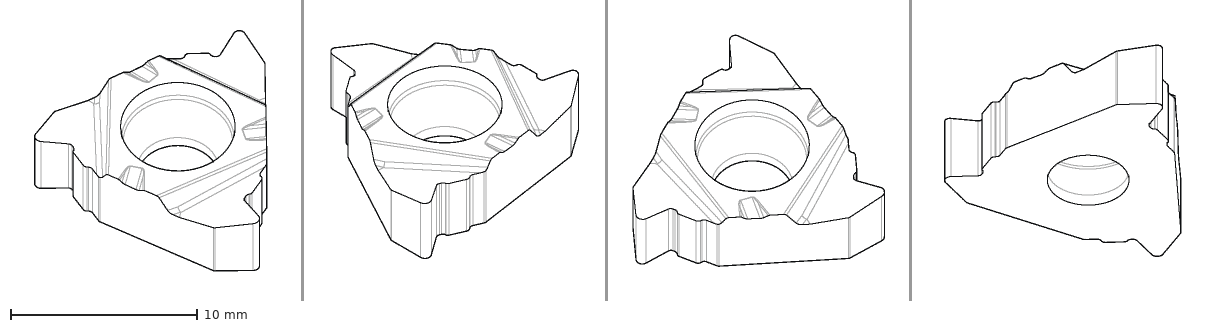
import cadquery as cq
import math

TOOTH_COUNT = 3
TOOTH_PITCH = 360 / TOOTH_COUNT

thickness = 4.27
side_distance = 4.76
side_corner_radius = 0.2

flank_angle = 60
tooth_apex = (-3.4, -7.23)
tip_radius = 0.35
shoulder_corner_radius = 0.16

groove_crest_y = -5.32
groove_exit_x = -1.92
groove_exit_angle = 55
groove_radius = 0.24
groove_lip_radius = 0.16
land_y = -5.52
step_start_x = -0.54
step_angle = 60
step_radius = 0.24
inner_land_y = -5.21

bore_radius = 4.4 / 2
countersink_radius = 3.08
countersink_taper = 3
countersink_depth = 1.01
seat_fillet_radius = 0.48
seat_radius = 4.03

ramp_angle = 10
tip_drop = 0.28
floor_depth = 1.01
floor_tilt = 4
wall_distance = 3.75
wall_direction = 238
wall_angle = 60
wall_root_radius = 0.31
wall_top_radius = 0.16

dent_end = (-3.55, 0.58)
dent_direction = 195
dent_slope = 10
dent_floor_width = 0.65
dent_wall_angle = 35
dent_radius = 0.32
dent_rim_radius = 0.13

reach = 8.06
clearance = 0.67


def tan(degrees):
    return math.tan(math.radians(degrees))


def sin(degrees):
    return math.sin(math.radians(degrees))


def cos(degrees):
    return math.cos(math.radians(degrees))


def turned(point, degrees):
    """Rotate a plan point about the hole axis."""
    x, y = point
    return (x * cos(degrees) - y * sin(degrees), x * sin(degrees) + y * cos(degrees))


def tooth_corners():
    """Sharp corners of one tooth, each with its rounding radius."""
    apex_x, apex_y = tooth_apex
    shoulder_y = apex_y + (side_distance + apex_x) * tan(flank_angle)

    groove_start_x = apex_x + (groove_crest_y - apex_y) / tan(flank_angle)
    lip_x = groove_exit_x + (groove_crest_y - land_y) / tan(groove_exit_angle)
    step_end_x = step_start_x + (inner_land_y - land_y) / tan(step_angle)
    next_side_x = (side_distance + inner_land_y * sin(TOOTH_PITCH)) / -cos(TOOTH_PITCH)
    return [
        ((-side_distance, shoulder_y), shoulder_corner_radius),
        (tooth_apex, tip_radius),
        ((groove_start_x, groove_crest_y), groove_radius),
        ((groove_exit_x, groove_crest_y), groove_radius),
        ((lip_x, land_y), groove_lip_radius),
        ((step_start_x, land_y), step_radius),
        ((step_end_x, inner_land_y), step_radius),
        ((next_side_x, inner_land_y), side_corner_radius),
    ]


def rounded_outline(corners):
    """Closed outline through corners, each replaced by a tangent arc."""
    outline = cq.Workplane("XY")
    for index, (point, radius) in enumerate(corners):
        corner = cq.Vector(*point)
        before = (cq.Vector(*corners[index - 1][0]) - corner).normalized()
        after = (cq.Vector(*corners[(index + 1) % len(corners)][0]) - corner).normalized()
        half_angle = before.getAngle(after) / 2
        setback = radius / math.tan(half_angle)
        arc_start = corner + before * setback
        arc_end = corner + after * setback
        arc_middle = corner + (before + after).normalized() * (radius / math.sin(half_angle) - radius)
        if index == 0:
            outline = outline.moveTo(arc_start.x, arc_start.y)
        else:
            outline = outline.lineTo(arc_start.x, arc_start.y)
        outline = outline.threePointArc((arc_middle.x, arc_middle.y), (arc_end.x, arc_end.y))
    return outline.close()


def make_body():
    corners = []
    for index in range(TOOTH_COUNT):
        for point, radius in tooth_corners():
            corners.append((turned(point, index * TOOTH_PITCH), radius))
    return rounded_outline(corners).extrude(thickness)


def make_hole_cutter():
    """Bore, convex seat, fillet and tapered countersink wall, as one revolved profile."""
    wall_end_r = countersink_radius - countersink_depth * tan(countersink_taper)
    wall_end_z = thickness - countersink_depth
    wall_start_r = countersink_radius + clearance * tan(countersink_taper)

    fillet_center_r = wall_end_r - seat_fillet_radius * cos(countersink_taper)
    fillet_center_z = wall_end_z + seat_fillet_radius * sin(countersink_taper)
    seat_center_r = bore_radius + seat_radius

    center_distance = seat_radius + seat_fillet_radius
    blend_angle = math.degrees(math.acos((seat_center_r - fillet_center_r) / center_distance))
    seat_center_z = fillet_center_z - center_distance * sin(blend_angle)

    def fillet_point(angle):
        return (fillet_center_r + seat_fillet_radius * cos(angle),
                fillet_center_z - seat_fillet_radius * sin(angle))

    def seat_point(angle):
        return (seat_center_r - seat_radius * cos(angle), seat_center_z + seat_radius * sin(angle))

    return (
        cq.Workplane("XZ")
        .moveTo(0, -clearance)
        .lineTo(0, thickness + clearance)
        .lineTo(wall_start_r, thickness + clearance)
        .lineTo(wall_end_r, wall_end_z)
        .threePointArc(fillet_point((countersink_taper + blend_angle) / 2), fillet_point(blend_angle))
        .threePointArc(seat_point(blend_angle / 2), seat_point(0))
        .lineTo(bore_radius, -clearance)
        .close()
        .revolve(360, (0, 0, 0), (0, 1, 0))
    )


def make_chip_breaker_cutter():
    """Space above the ramp and the floor, on the tooth side of the wall."""
    top_z = thickness + clearance
    deep_z = 0
    tip_y = tooth_apex[1] + tip_radius * (1 / cos(flank_angle) - 1)
    ramp_start_y = tip_y - clearance
    ramp_start_z = thickness - tip_drop + clearance * tan(ramp_angle)
    ramp_end_y = ramp_start_y + ramp_start_z / tan(ramp_angle)
    above_ramp = (
        cq.Workplane("YZ")
        .polyline([(ramp_start_y, top_z), (ramp_start_y, ramp_start_z),
                   (ramp_end_y, deep_z), (ramp_end_y, top_z)])
        .close()
        .extrude(reach, both=True)
    )

    floor_start_z = thickness - floor_depth + (reach - side_distance) * tan(floor_tilt)
    floor_end_z = floor_start_z - 2 * reach * tan(floor_tilt)
    above_floor = (
        cq.Workplane("XZ")
        .polyline([(-reach, top_z), (-reach, floor_start_z), (reach, floor_end_z), (reach, top_z)])
        .close()
        .extrude(2 * reach, both=True)
    )

    wall_top = wall_distance - clearance / tan(wall_angle)
    wall_bottom = wall_distance + thickness / tan(wall_angle)
    outside_wall = (
        cq.Workplane("XZ")
        .polyline([(wall_top, top_z), (wall_bottom, deep_z), (2 * reach, deep_z), (2 * reach, top_z)])
        .close()
        .extrude(2 * reach, both=True)
        .rotate((0, 0, 0), (0, 0, 1), wall_direction)
    )
    cutter = above_ramp.intersect(above_floor).intersect(outside_wall)

    wall_normal = cq.Vector(*turned((sin(wall_angle), 0), wall_direction), cos(wall_angle))
    wall_face = cutter.faces(cq.selectors.DirectionMinMaxSelector(wall_normal, False))
    below_top = cq.selectors.BoxSelector((-reach, -reach, 0), (reach, reach, thickness))
    root_edges = wall_face.edges(below_top)
    return root_edges.fillet(wall_root_radius)


def make_dent_cutter():
    """Shallow trough whose floor rises from the flat side to the top face."""
    half_floor = dent_floor_width / 2
    arc_x = half_floor + dent_radius * sin(dent_wall_angle)
    arc_y = dent_radius * (1 - cos(dent_wall_angle))
    middle_x = half_floor + dent_radius * sin(dent_wall_angle / 2)
    middle_y = dent_radius * (1 - cos(dent_wall_angle / 2))
    top_x = arc_x + (clearance - arc_y) / tan(dent_wall_angle)

    heading = turned((cos(dent_slope), 0), dent_direction)
    across = (*turned((1, 0), dent_direction + 90), 0)
    trough_plane = cq.Plane(
        origin=(*dent_end, thickness), xDir=across, normal=(*heading, -sin(dent_slope)))
    trough_length = side_distance
    return (
        cq.Workplane(trough_plane)
        .moveTo(-half_floor, 0)
        .lineTo(half_floor, 0)
        .threePointArc((middle_x, middle_y), (arc_x, arc_y))
        .lineTo(top_x, clearance)
        .lineTo(-top_x, clearance)
        .lineTo(-arc_x, arc_y)
        .threePointArc((-middle_x, middle_y), (-half_floor, 0))
        .close()
        .extrude(trough_length)
    )


def cut_at_each_tooth(body, cutter):
    for index in range(TOOTH_COUNT):
        body = body.cut(cutter.rotate((0, 0, 0), (0, 0, 1), index * TOOTH_PITCH))
    return body


def round_wall_tops(body):
    for index in range(TOOTH_COUNT):
        point = turned((wall_distance, 0), wall_direction + index * TOOTH_PITCH)
        wall_edge = cq.selectors.NearestToPointSelector((*point, thickness))
        body = body.faces(">Z").edges(wall_edge).fillet(wall_top_radius)
    return body


def round_dent_rims(body):
    """Round each dent's rim; its edges are tangent, so one of them selects them all."""
    for index in range(TOOTH_COUNT):
        end_edge = cq.selectors.NearestToPointSelector((*turned(dent_end, index * TOOTH_PITCH), thickness))
        body = body.faces(">Z").edges(end_edge).fillet(dent_rim_radius)
    return body


body = make_body()
body = cut_at_each_tooth(body, make_chip_breaker_cutter())
body = round_wall_tops(body)
body = cut_at_each_tooth(body, make_dent_cutter())
body = round_dent_rims(body)
result = body.cut(make_hole_cutter())